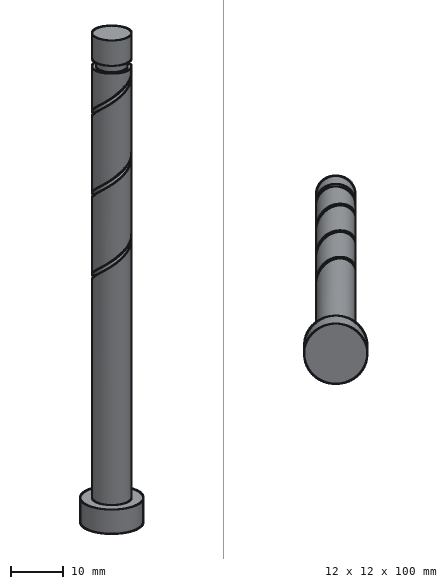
import cadquery as cq

total_length = 100.0
head_diameter = 12.0
head_height = 5.0
shank_diameter = 7.5

tip_length = 5.2
neck_width = 1.6
neck_diameter = 6.0
neck_top = total_length - tip_length
neck_bottom = neck_top - neck_width

helix_height = 50.0
helix_turns = 3
groove_radius = 0.5
helix_bottom = neck_bottom - helix_height
helix_start_angle = 90.0


def cylinder(diameter, bottom, top):
    """Solid cylinder on the pin axis between two heights."""
    return cq.Workplane("XY").workplane(offset=bottom).circle(diameter / 2).extrude(top - bottom)


def helical_cutter():
    """Round bar wound right-handed on the shank surface."""
    shank_radius = shank_diameter / 2
    pitch = helix_height / helix_turns
    path = cq.Workplane(cq.Wire.makeHelix(pitch, helix_height, shank_radius))
    bar = cq.Workplane("XZ").center(shank_radius, 0).circle(groove_radius).sweep(path, isFrenet=True)
    return bar.rotate((0, 0, 0), (0, 0, 1), helix_start_angle).translate((0, 0, helix_bottom))


head = cylinder(head_diameter, 0, head_height)
shank = cylinder(shank_diameter, head_height, neck_bottom).cut(helical_cutter())
neck = cylinder(neck_diameter, neck_bottom, neck_top)
tip = cylinder(shank_diameter, neck_top, total_length)

result = head.union(shank).union(neck).union(tip)